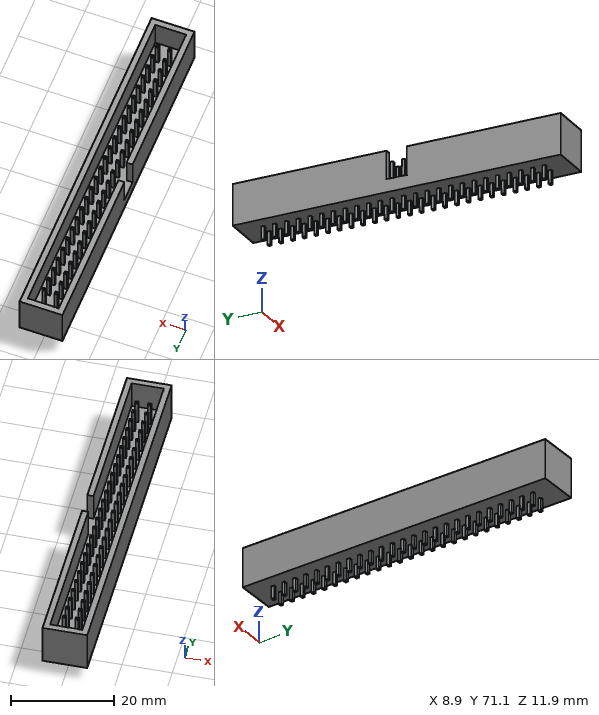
import cadquery as cq

body_width = 8.9
body_length = 71.12
body_height = 8.9
wall = 1.25
cavity_depth = 6.1
floor_height = body_height - cavity_depth

notch_width = 4.4

pin_pitch = 2.54
pin_rows = 25
pin_columns = 2
pin_size = 0.64
pin_tail = 3.0
pin_tip_recess = 0.9
pin_point_height = 0.2
pin_point_flat = 0.24


def make_shroud():
    """Box with a rectangular cavity open at the top."""
    body = cq.Workplane("XY").box(body_width, body_length, body_height, centered=(True, True, False))
    cavity = (
        cq.Workplane("XY", origin=(0, 0, floor_height))
        .box(
            body_width - 2 * wall,
            body_length - 2 * wall,
            cavity_depth,
            centered=(True, True, False),
        )
    )
    return body.cut(cavity)


def make_notch():
    """Cutter that opens the -X side wall into the cavity."""
    return (
        cq.Workplane("XY", origin=(-body_width / 2, 0, floor_height))
        .box(wall, notch_width, cavity_depth, centered=(False, True, False))
    )


def make_point(base_height, direction):
    """Tapered pin end rising (direction 1) or descending (direction -1) from base_height."""
    return (
        cq.Workplane("XY", origin=(0, 0, base_height))
        .rect(pin_size, pin_size)
        .workplane(offset=direction * pin_point_height)
        .rect(pin_point_flat, pin_point_flat)
        .loft()
    )


def make_pin():
    """One square pin on the Z axis, pointed at both ends."""
    shaft_bottom = pin_point_height - pin_tail
    shaft_top = body_height - pin_tip_recess - pin_point_height
    shaft = (
        cq.Workplane("XY", origin=(0, 0, shaft_bottom))
        .rect(pin_size, pin_size)
        .extrude(shaft_top - shaft_bottom)
    )
    return shaft.union(make_point(shaft_top, 1)).union(make_point(shaft_bottom, -1))


def make_pin_grid():
    """All pins, centred on the shroud."""
    pin = make_pin().val()
    return (
        cq.Workplane("XY")
        .rarray(pin_pitch, pin_pitch, pin_columns, pin_rows)
        .eachpoint(lambda location: pin.moved(location))
    )


result = make_shroud().cut(make_notch()).union(make_pin_grid())